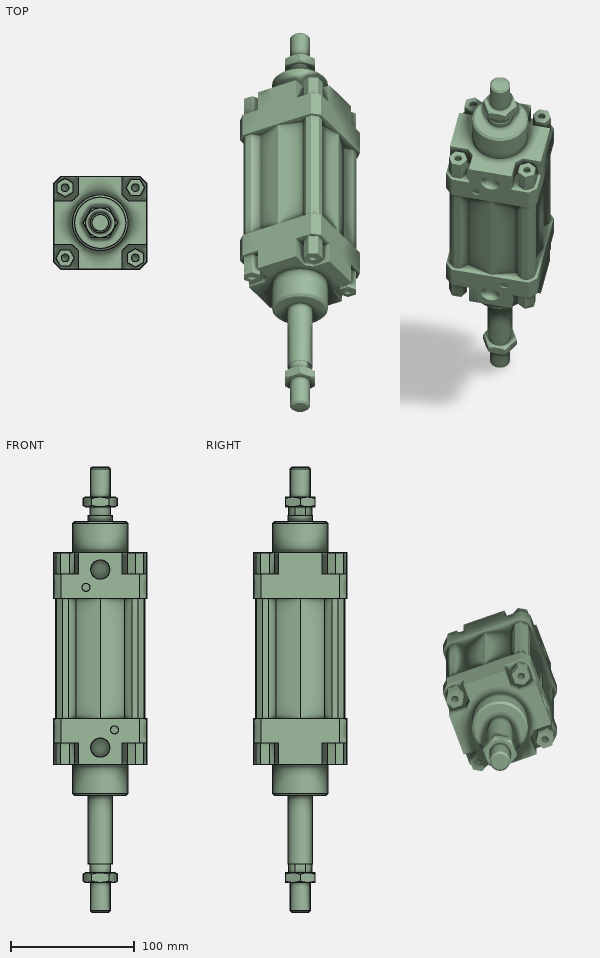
import cadquery as cq
import math

ROD_LENGTH = 359.0

ROD_DIAMETER = 20.0
STUB_DIAMETER = 16.0
STUB_LENGTH = 32.0
STUB_CHAMFER = 1.5
NECK_DIAMETER = 19.0
NECK_LENGTH = 7.2
FLAT_WIDTH = 17.0
UPPER_SHOULDER_GAP = 12.0

NUT_ACROSS_FLATS = 24.0
NUT_HEIGHT = 8.0
NUT_FACE_DIAMETER = 23.7
NUT_CHAMFER_ANGLE = 30.0

BODY_LENGTH = 171.0
CAP_WIDTH = 75.0
CAP_HEIGHT = 37.0
CAP_CHAMFER = 5.7
BOSS_DIAMETER = 45.0
BOSS_HEIGHT = 25.0
BOSS_CHAMFER = 1.8

POCKET_INNER_EDGE = 17.5
POCKET_CHAMFER = 5.0
POCKET_DEPTH = 17.2
SCREW_OFFSET = 28.5
SCREW_ACROSS_FLATS = 13.0
SOCKET_DIAMETER = 6.0
SOCKET_DEPTH = 5.0
SOCKET_TIP_ANGLE = 118.0

PORT_DIAMETER = 15.5
PORT_DEPTH = 14.5
PORT_FROM_END = 13.5
CUSHION_DIAMETER = 6.5
CUSHION_DEPTH = 1.0
CUSHION_OFFSET = 11.5
CUSHION_FROM_END = 28.0

BARREL_HALF_WIDTH = 35.2
BARREL_CHAMFER = 4.5
BARREL_RIB_START = 25.5
BARREL_VALLEY_OFFSET = 19.7
BARREL_VALLEY_DEPTH = 29.8
BARREL_RIDGE_DEPTH = 36.0

BODY_TOP = BODY_LENGTH / 2
CAP_INNER = BODY_TOP - CAP_HEIGHT
BOSS_END = BODY_TOP + BOSS_HEIGHT
UPPER_SHOULDER = BOSS_END + UPPER_SHOULDER_GAP
ROD_TOP = UPPER_SHOULDER + STUB_LENGTH
ROD_BOTTOM = ROD_TOP - ROD_LENGTH
LOWER_SHOULDER = ROD_BOTTOM + STUB_LENGTH


def hexagon_diameter(across_flats):
    """Corner-to-corner diameter of a regular hexagon."""
    return across_flats / math.cos(math.radians(30))


def make_cylinder(diameter, bottom, top):
    """Upright cylinder on the Z axis between two levels."""
    return cq.Workplane("XY", origin=(0, 0, bottom)).circle(diameter / 2).extrude(top - bottom)


def make_barrel():
    """Barrel whose four sides have a central ridge between two valleys."""
    rib_end = BARREL_HALF_WIDTH - BARREL_CHAMFER
    side = [
        (-rib_end, -BARREL_HALF_WIDTH),
        (-BARREL_RIB_START, -BARREL_HALF_WIDTH),
        (-BARREL_VALLEY_OFFSET, -BARREL_VALLEY_DEPTH),
        (0, -BARREL_RIDGE_DEPTH),
        (BARREL_VALLEY_OFFSET, -BARREL_VALLEY_DEPTH),
        (BARREL_RIB_START, -BARREL_HALF_WIDTH),
        (rib_end, -BARREL_HALF_WIDTH),
    ]
    outline = []
    for turn in ((1, 0), (0, 1), (-1, 0), (0, -1)):
        cosine, sine = turn
        for x, y in side:
            outline.append((x * cosine - y * sine, x * sine + y * cosine))
    return cq.Workplane("XY").polyline(outline).close().extrude(CAP_INNER, both=True)


def make_corner_pocket():
    """Cutter for the +X +Y corner pocket, with its inner corner chamfered."""
    size = CAP_WIDTH / 2 - POCKET_INNER_EDGE
    return (
        cq.Workplane("XY", origin=(POCKET_INNER_EDGE, POCKET_INNER_EDGE, BODY_TOP - POCKET_DEPTH))
        .rect(size, size, centered=False)
        .extrude(POCKET_DEPTH)
        .edges("|Z and <X and <Y")
        .chamfer(POCKET_CHAMFER)
    )


def make_screw_head():
    """Hexagonal tie-rod screw head in the +X +Y corner, flush with the cap's end face."""
    radius = SOCKET_DIAMETER / 2
    tip_depth = radius / math.tan(math.radians(SOCKET_TIP_ANGLE / 2))
    socket = (
        cq.Workplane("XZ")
        .moveTo(0, 0)
        .lineTo(radius, 0)
        .lineTo(radius, -SOCKET_DEPTH)
        .lineTo(0, -SOCKET_DEPTH - tip_depth)
        .close()
        .revolve(360, (0, 0), (0, 1))
        .translate((SCREW_OFFSET, SCREW_OFFSET, BODY_TOP))
    )
    head = (
        cq.Workplane("XY", origin=(SCREW_OFFSET, SCREW_OFFSET, BODY_TOP - POCKET_DEPTH))
        .polygon(6, hexagon_diameter(SCREW_ACROSS_FLATS))
        .extrude(POCKET_DEPTH)
    )
    return head.cut(socket)


def make_face_hole(diameter, depth, x, z):
    """Cutter for a blind round hole in the -Y face."""
    return cq.Workplane("XZ", origin=(x, -CAP_WIDTH / 2 + depth, z)).circle(diameter / 2).extrude(depth)


def make_upper_cap():
    """Square end cap with boss and four pocketed screw heads."""
    cap = (
        cq.Workplane("XY", origin=(0, 0, CAP_INNER))
        .rect(CAP_WIDTH, CAP_WIDTH)
        .extrude(CAP_HEIGHT)
        .edges("|Z")
        .chamfer(CAP_CHAMFER)
    )
    boss = (
        cq.Workplane("XY", origin=(0, 0, BODY_TOP))
        .circle(BOSS_DIAMETER / 2)
        .extrude(BOSS_HEIGHT)
        .faces(">Z")
        .chamfer(BOSS_CHAMFER)
    )
    cap = cap.union(boss)
    pocket = make_corner_pocket()
    screw_head = make_screw_head()
    for angle in (0, 90, 180, 270):
        cap = cap.cut(pocket.rotate((0, 0, 0), (0, 0, 1), angle))
        cap = cap.union(screw_head.rotate((0, 0, 0), (0, 0, 1), angle))
    return cap


def make_housing():
    """Barrel between two mirrored caps, with ports in the -Y face and a bore for the rod."""
    upper_cap = make_upper_cap()
    housing = make_barrel().union(upper_cap).union(upper_cap.mirror("XY"))
    port_level = BODY_TOP - PORT_FROM_END
    cushion_level = BODY_TOP - CUSHION_FROM_END
    for end in (1, -1):
        housing = housing.cut(make_face_hole(PORT_DIAMETER, PORT_DEPTH, 0, end * port_level))
        housing = housing.cut(
            make_face_hole(CUSHION_DIAMETER, CUSHION_DEPTH, -end * CUSHION_OFFSET, end * cushion_level)
        )
    return housing.cut(make_cylinder(ROD_DIAMETER, -BOSS_END, BOSS_END))


def make_rod():
    """Through rod; each end has a neck with two wrench flats and then a chamfered stub."""
    shaft = make_cylinder(ROD_DIAMETER, LOWER_SHOULDER + NECK_LENGTH, UPPER_SHOULDER - NECK_LENGTH)
    flats = cq.Workplane("XY").box(FLAT_WIDTH, ROD_DIAMETER, 2 * ROD_LENGTH)
    necks = make_cylinder(NECK_DIAMETER, LOWER_SHOULDER, UPPER_SHOULDER).intersect(flats)
    stubs = make_cylinder(STUB_DIAMETER, ROD_BOTTOM, ROD_TOP).faces("<Z or >Z").chamfer(STUB_CHAMFER)
    return shaft.union(necks).union(stubs)


def make_nut(bottom):
    """Hexagon lock nut with corners chamfered at both faces, corners on the X axis."""
    corner_diameter = hexagon_diameter(NUT_ACROSS_FLATS)
    corner_inset = (corner_diameter - NUT_FACE_DIAMETER) / 2
    corner_drop = corner_inset * math.tan(math.radians(NUT_CHAMFER_ANGLE))
    envelope = (
        cq.Workplane("XY")
        .circle(corner_diameter / 2)
        .extrude(NUT_HEIGHT)
        .faces("<Z or >Z")
        .chamfer(corner_drop, corner_inset)
    )
    hexagon = cq.Workplane("XY").polygon(6, corner_diameter).extrude(NUT_HEIGHT)
    thread_hole = cq.Workplane("XY").circle(STUB_DIAMETER / 2).extrude(NUT_HEIGHT)
    return hexagon.intersect(envelope).cut(thread_hole).translate((0, 0, bottom))


housing = make_housing()
rod = make_rod()
nuts = [make_nut(bottom) for bottom in (UPPER_SHOULDER, LOWER_SHOULDER - NUT_HEIGHT)]

result = cq.Compound.makeCompound([housing.val(), rod.val(), *[nut.val() for nut in nuts]])